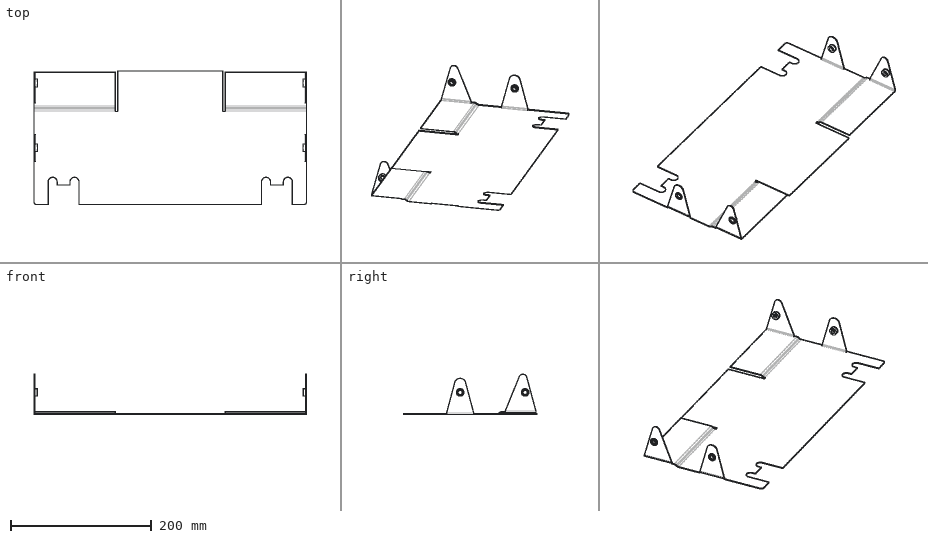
import cadquery as cq
import math

length = 388.0
depth = 190.0
height = 57.5
thickness = 1.5
half_length = length / 2
half_depth = depth / 2
corner_radius = 4.0

wing_rise = 2.75
wing_setback = 1.5
wing_inner_x = 78.0
slot_width = 3.0
slot_end_y = 37.5
step_start_y = 38.5
step_angle = math.radians(35)
step_radius = 4.3

notch_outer_x = 173.5
notch_inner_x = 130.0
notch_lobe_radius = 6.2
notch_lobe_top_y = -56.3
notch_ledge_y = -67.0

ear_bend_radius = 0.8
ear_bend_outer = ear_bend_radius + thickness
wing_rear_y = half_depth - wing_setback
tall_ear_front_y = 49.5
tall_ear_tip_y = 75.0
tall_ear_tip_radius = 6.0
short_ear_y = -14.5
short_ear_half_width = 19.5
short_ear_top = 51.5
short_ear_tip_radius = 8.0

nut_z = 31.5
tall_ear_nut_y = 78.0
nut_radius = 5.5
nut_length = 5.0
nut_bore_radius = 2.9
nut_countersink = 1.0


def box(x_range, y_range, z_range):
    """A box between two limits on each axis."""
    sizes = [high - low for low, high in (x_range, y_range, z_range)]
    corner = (x_range[0], y_range[0], z_range[0])
    return cq.Workplane("XY").box(*sizes, centered=False).translate(corner)


def mirrored(shape):
    """The same shape at the opposite X end."""
    return shape.mirror("YZ")


def flat_sheet():
    """The flat plate with its rear tongue, before the notches are cut."""
    plate = box((-half_length, half_length), (-half_depth, step_start_y), (0, thickness))
    plate = plate.edges("|Z and <Y").fillet(corner_radius)
    tongue_x = wing_inner_x - slot_width
    return plate.union(box((-tongue_x, tongue_x), (slot_end_y, half_depth), (0, thickness)))


def slot_cut():
    """The stretch of the left slot that runs into the flat plate."""
    x_range = (-wing_inner_x, -wing_inner_x + slot_width)
    return box(x_range, (slot_end_y, half_depth), (0, thickness))


def notch_cut():
    """The left front notch: a wide opening with two round-topped lobes."""
    cut = box((-notch_outer_x, -notch_inner_x), (-half_depth, notch_ledge_y), (0, thickness))
    lobe_y = notch_lobe_top_y - notch_lobe_radius
    for lobe_x in (-notch_outer_x + notch_lobe_radius, -notch_inner_x - notch_lobe_radius):
        lobe = cq.Workplane("XY").center(lobe_x, lobe_y).circle(notch_lobe_radius).extrude(thickness)
        x_range = (lobe_x - notch_lobe_radius, lobe_x + notch_lobe_radius)
        cut = cut.union(lobe).union(box(x_range, (notch_ledge_y, lobe_y), (0, thickness)))
    return cut


def wing():
    """The left wing and its S-shaped step, as one profile in YZ run along X."""
    outer_radius = step_radius + thickness
    bend_drop = (step_radius + outer_radius) * (1 - math.cos(step_angle))
    slope_run = (wing_rise - bend_drop) / math.tan(step_angle)
    step_run = (step_radius + outer_radius) * math.sin(step_angle) + slope_run
    step_end_y = step_start_y + step_run
    lower_centre = (step_start_y, outer_radius)
    upper_centre = (step_end_y, wing_rise - step_radius)

    def on_lower_bend(radius, angle):
        return (lower_centre[0] + radius * math.sin(angle), lower_centre[1] - radius * math.cos(angle))

    def on_upper_bend(radius, angle):
        return (upper_centre[0] - radius * math.sin(angle), upper_centre[1] + radius * math.cos(angle))

    half_angle = step_angle / 2
    profile = (
        cq.Workplane("YZ")
        .moveTo(*on_lower_bend(outer_radius, 0))
        .threePointArc(on_lower_bend(outer_radius, half_angle), on_lower_bend(outer_radius, step_angle))
        .lineTo(*on_upper_bend(step_radius, step_angle))
        .threePointArc(on_upper_bend(step_radius, half_angle), on_upper_bend(step_radius, 0))
        .lineTo(wing_rear_y, wing_rise)
        .lineTo(wing_rear_y, wing_rise + thickness)
        .lineTo(*on_upper_bend(outer_radius, 0))
        .threePointArc(on_upper_bend(outer_radius, half_angle), on_upper_bend(outer_radius, step_angle))
        .lineTo(*on_lower_bend(step_radius, step_angle))
        .threePointArc(on_lower_bend(step_radius, half_angle), on_lower_bend(step_radius, 0))
        .close()
    )
    return profile.extrude(half_length - wing_inner_x).translate((-half_length, 0, 0))


def tangent_point(base, centre, radius, side):
    """Where a line from base touches a circle, on the +Y (side 1) or -Y (side -1) flank."""
    dy = base[0] - centre[0]
    dz = base[1] - centre[1]
    angle = math.atan2(dz, dy) + side * math.acos(radius / math.hypot(dy, dz))
    return (centre[0] + radius * math.cos(angle), centre[1] + radius * math.sin(angle))


def ear_blade(front_y, rear_y, base_z, tip_y, tip_radius, top_z):
    """The upright tapered part of a left ear, with a rounded tip."""
    tip_centre = (tip_y, top_z - tip_radius)
    front_base = (front_y, base_z)
    rear_base = (rear_y, base_z)
    return (
        cq.Workplane("YZ")
        .moveTo(*front_base)
        .lineTo(*rear_base)
        .lineTo(*tangent_point(rear_base, tip_centre, tip_radius, 1))
        .threePointArc((tip_y, top_z), tangent_point(front_base, tip_centre, tip_radius, -1))
        .close()
        .extrude(thickness)
        .translate((-half_length, 0, 0))
    )


def ear_bend(front_y, rear_y, sheet_z):
    """The quarter-round bend joining an ear to the sheet."""
    centre_x = -half_length + ear_bend_outer
    centre_z = sheet_z + ear_bend_outer
    width = rear_y - front_y
    ring = cq.Workplane("XZ").center(centre_x, centre_z).circle(ear_bend_outer).circle(ear_bend_radius)
    ring = ring.extrude(-width).translate((0, front_y, 0))
    return ring.intersect(bend_block(front_y, rear_y, sheet_z))


def bend_block(front_y, rear_y, sheet_z):
    """The square-cornered space that a bend takes the place of."""
    x_range = (-half_length, -half_length + ear_bend_outer)
    return box(x_range, (front_y, rear_y), (sheet_z, sheet_z + ear_bend_outer))


def add_ear(sheet, front_y, rear_y, sheet_z, tip_y, tip_radius, top_z):
    """Bend an ear up at both ends of the sheet."""
    corner = bend_block(front_y, rear_y, sheet_z)
    ear = ear_bend(front_y, rear_y, sheet_z)
    ear = ear.union(ear_blade(front_y, rear_y, sheet_z + ear_bend_outer, tip_y, tip_radius, top_z))
    sheet = sheet.cut(corner).cut(mirrored(corner))
    return sheet.union(ear).union(mirrored(ear))


def nut_hole(nut_y):
    """The hole through both ears of a pair."""
    hole = cq.Workplane("YZ").center(nut_y, nut_z).circle(nut_radius).extrude(length)
    return hole.translate((-half_length, 0, 0))


def make_sheet():
    """The whole sheet: plate, tongue, wings and ears, with its slots, notches and nut holes."""
    sheet = flat_sheet().union(wing()).union(mirrored(wing()))
    for cut in (slot_cut(), notch_cut()):
        sheet = sheet.cut(cut).cut(mirrored(cut))
    sheet = add_ear(
        sheet, tall_ear_front_y, wing_rear_y, wing_rise, tall_ear_tip_y, tall_ear_tip_radius, height
    )
    sheet = add_ear(
        sheet,
        short_ear_y - short_ear_half_width,
        short_ear_y + short_ear_half_width,
        0,
        short_ear_y,
        short_ear_tip_radius,
        short_ear_top,
    )
    return sheet.cut(nut_hole(tall_ear_nut_y)).cut(nut_hole(short_ear_y))


def make_nut(nut_y):
    """A round nut in a left ear, flush with the outer face."""
    nut = cq.Workplane("YZ").circle(nut_radius).circle(nut_bore_radius).extrude(nut_length)
    bore_rim = cq.selectors.RadiusNthSelector(0)
    nut = nut.faces("<X").edges(bore_rim).chamfer(nut_countersink)
    return nut.translate((-half_length, nut_y, nut_z))


sheet = make_sheet()
nuts = []
for nut_y in (tall_ear_nut_y, short_ear_y):
    nut = make_nut(nut_y)
    nuts += [nut, mirrored(nut)]

result = cq.Compound.makeCompound([sheet.val(), *[nut.val() for nut in nuts]])